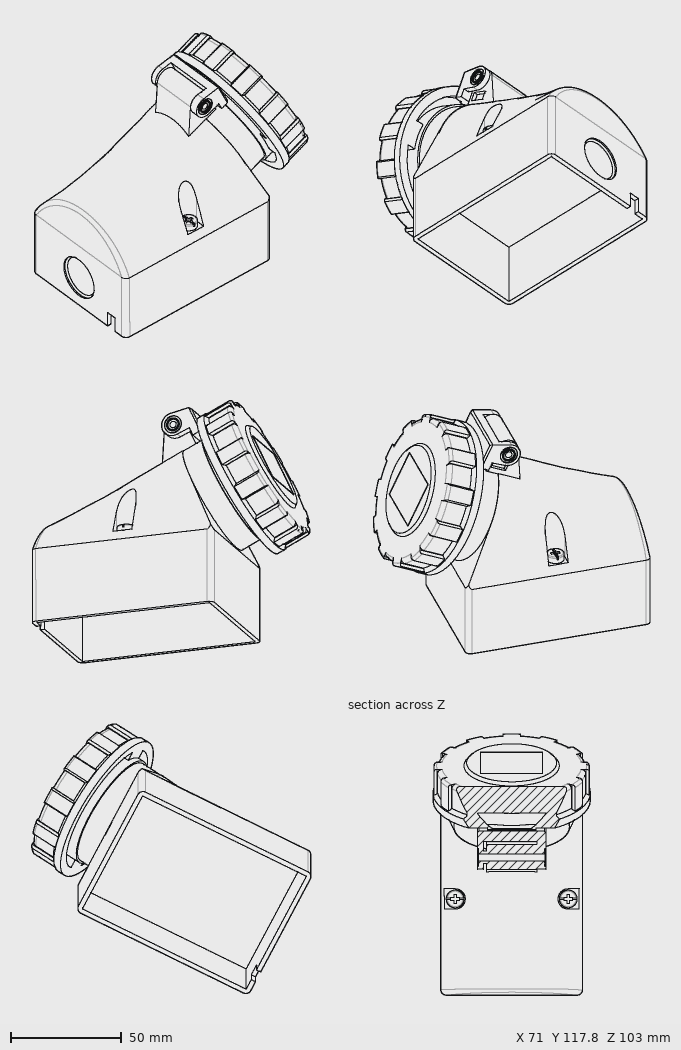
import cadquery as cq
import math


BOX_WIDTH = 64.0
BOX_LENGTH = 87.3
BOX_HEIGHT = 34.4
BOX_CORNER_RADIUS = 2.6
BOX_WALL = 2.2

KNOCKOUT_HEIGHT = 16.0
KNOCKOUT_DIAMETER = 20.8
KNOCKOUT_FLOOR_DIAMETER = 19.0
KNOCKOUT_BORE_DEPTH = 0.7
KNOCKOUT_DEPTH = 1.5

NOTCH_WIDTH = 5.1
NOTCH_HEIGHT = 7.8
NOTCH_X = 22.2

TILT = 25.0
TILT_COS = math.cos(math.radians(TILT))
TILT_SIN = math.sin(math.radians(TILT))
AXIS_OFFSET = 21.25
COLLAR_RADIUS = 26.0
COLLAR_RING_RADIUS = 27.0
COLLAR_RING_LENGTH = 2.6
COLLAR_OVERLAP = 1.0

BODY_FRONT = BOX_LENGTH * TILT_COS + BOX_HEIGHT * TILT_SIN
BODY_FRONT_RADIUS = 26.2
BODY_REAR_RISE = 18.8
BODY_REAR_LEAN = 4.5
BODY_REAR_ROUND = 2.4
ARCH_SPANS = 24

POCKET_X = 25.5
POCKET_Y = 43.4
POCKET_WIDTH = 9.2
POCKET_FLOOR = 39.0
SCREW_HEAD_DIAMETER = 8.0
SCREW_HEAD_TOP = 42.2
SCREW_HEAD_ROUND = 0.5
SCREW_SLOT_WIDTH = 0.7
SCREW_SLOT_DEPTH = 1.3
SCREW_CROSS_SPAN = 4.0
SCREW_CROSS_WIDTH = 1.2
SCREW_CROSS_DEPTH = 2.0

CAP_BACK = 106.9
CAP_FLANGE_RADIUS = 35.5
CAP_FLANGE_LENGTH = 3.7
CAP_SHOULDER_LENGTH = 1.6
CAP_LENGTH = 17.1
CAP_BODY_RADIUS = 33.6
CAP_FRONT_ROUND = 2.0
CAP_FRONT = CAP_BACK + CAP_LENGTH
CAP_FLANGE_FRONT = CAP_BACK + CAP_FLANGE_LENGTH

GRIP_COUNT = 12
GRIP_RADIUS = 35.1
GRIP_BASE_WIDTH = 8.0
GRIP_TOP_WIDTH = 6.6
GRIP_FRONT_ROUND = 1.3

CROWN_DIAMETER = 43.0
CROWN_HEIGHT = 1.5
CROWN_BEVEL = 1.2
LABEL_WIDTH = 28.0
LABEL_HEIGHT = 22.5
LABEL_DEPTH = 0.2

CAP_RECESS_RADIUS = 31.0
CAP_RECESS_DEPTH = 6.0
CAP_LUG_HEIGHT = 12.5

PIN_STATION = 95.1
PIN_HEIGHT = 56.9
KNUCKLE_RADIUS = 5.5
EAR_RADIUS = 5.4
PIN_HOLE_DIAMETER = 3.0
PIN_RIM_DIAMETER = 5.0
PIN_HEAD_DIAMETER = 6.0
PIN_SEAT_DIAMETER = 8.0
PIN_SEAT_DEPTH = 0.5

BLOCK_WIDTH = 22.8
BLOCK_FRONT = 100.0
BLOCK_BOTTOM = 40.0
BLOCK_REAR_ANGLE = 28.5
BLOCK_POCKET_REAR = 91.0
BLOCK_POCKET_LENGTH = 7.5
BLOCK_POCKET_BOTTOM = 47.1
BLOCK_POCKET_HEIGHT = 4.2
BLOCK_POCKET_DEPTH = 2.0

LEAF_WIDTH = 31.0
LEAF_FRONT = 105.8
LEAF_STEP = 101.2
LEAF_BOTTOM = 47.2
LEAF_STEP_HEIGHT = 51.2
LEAF_TOP = 59.9
LEAF_BEVEL = 0.8
LEAF_SIDE_GAP = 1.2
LEAF_WINDOW_GAP = 0.6
BRIDGE_WIDTH = 22.0
BRIDGE_TOP = 51.3


def tilted(shape):
    """Swing a level outlet feature up to the outlet's true direction."""
    return shape.rotate((0, 0, 0), (1, 0, 0), TILT)


def block(width, y_range, z_range, x_center=0.0):
    """Axis-aligned box centred on x_center."""
    length = y_range[1] - y_range[0]
    height = z_range[1] - z_range[0]
    corner = (x_center - width / 2, y_range[0], z_range[0])
    return cq.Workplane("XY").box(width, length, height, centered=False).translate(corner)


def turned(outline):
    """Revolve (radius, station) points about the level outlet axis."""
    solid = cq.Workplane("XY").polyline(outline).close().revolve(360, (0, 0, 0), (0, 1, 0))
    return solid.translate((0, 0, AXIS_OFFSET))


def disc(radius, start, end):
    """Cylinder on the level outlet axis between two stations."""
    return turned([(0, start), (radius, start), (radius, end), (0, end)])


def cross_rod(diameter, x_start, x_end):
    """Cylinder along X on the hinge pin's axis."""
    plane = cq.Workplane("YZ", origin=(x_start, PIN_STATION, PIN_HEIGHT))
    return plane.circle(diameter / 2).extrude(x_end - x_start)


def make_footprint(height):
    prism = block(BOX_WIDTH, (0, BOX_LENGTH), (0, height))
    return prism.edges("|Z").fillet(BOX_CORNER_RADIUS)


def make_box():
    cavity_width = BOX_WIDTH - 2 * BOX_WALL
    cavity = block(cavity_width, (BOX_WALL, BOX_LENGTH - BOX_WALL), (0, BOX_HEIGHT - BOX_WALL))
    notch = block(NOTCH_WIDTH, (0, BOX_WALL), (0, NOTCH_HEIGHT), NOTCH_X)
    bore_radius = KNOCKOUT_DIAMETER / 2
    knockout = (
        cq.Workplane("XY")
        .polyline([
            (0, 0),
            (bore_radius, 0),
            (bore_radius, KNOCKOUT_BORE_DEPTH),
            (KNOCKOUT_FLOOR_DIAMETER / 2, KNOCKOUT_DEPTH),
            (0, KNOCKOUT_DEPTH),
        ])
        .close()
        .revolve(360, (0, 0, 0), (0, 1, 0))
        .translate((0, 0, KNOCKOUT_HEIGHT))
    )
    return make_footprint(BOX_HEIGHT).cut(cavity).cut(notch).cut(knockout)


def arched_wire(plane, half_base, outline_point):
    """Flat-bottomed arch: a base line closed by a curve over it.

    outline_point gives the curve's point at a fraction from the base's left end to its right end.
    """
    points = [outline_point(index / ARCH_SPANS) for index in range(ARCH_SPANS + 1)]
    curve = cq.Edge.makeSpline([plane.toWorldCoords(point) for point in points])
    base = cq.Edge.makeLine(plane.toWorldCoords((half_base, 0)), plane.toWorldCoords((-half_base, 0)))
    return cq.Wire.assembleEdges([base, curve])


def make_front_arch():
    """Arc around the collar with tangent straight sides down to the box corners."""
    plane = cq.Plane((0, BOX_LENGTH, BOX_HEIGHT), (1, 0, 0), (0, -TILT_COS, -TILT_SIN))
    half_base = BOX_WIDTH / 2
    center_height = AXIS_OFFSET - (BOX_HEIGHT * TILT_COS - BOX_LENGTH * TILT_SIN)
    corner_distance = math.hypot(half_base, center_height)
    side_length = math.sqrt(corner_distance**2 - BODY_FRONT_RADIUS**2)
    corner_angle = math.atan2(half_base, -center_height)
    end_angle = corner_angle - math.atan2(side_length, BODY_FRONT_RADIUS)
    arc_length = 2 * BODY_FRONT_RADIUS * end_angle
    total_length = arc_length + 2 * side_length

    def outline_point(fraction):
        along = (fraction - 0.5) * total_length
        angle = max(-end_angle, min(end_angle, along / BODY_FRONT_RADIUS))
        straight = along - angle * BODY_FRONT_RADIUS
        x = BODY_FRONT_RADIUS * math.sin(angle) + straight * math.cos(angle)
        height = BODY_FRONT_RADIUS * math.cos(angle) - straight * math.sin(angle)
        return (x, center_height + height)

    return arched_wire(plane, half_base, outline_point)


def make_rear_arch():
    """One arc over the full box width, in a plane leaning slightly forward."""
    lean = math.radians(BODY_REAR_LEAN)
    plane = cq.Plane((0, 0, BOX_HEIGHT), (1, 0, 0), (0, -math.cos(lean), math.sin(lean)))
    half_base = BOX_WIDTH / 2
    radius = (half_base**2 + BODY_REAR_RISE**2) / (2 * BODY_REAR_RISE)
    end_angle = math.asin(half_base / radius)

    def outline_point(fraction):
        angle = (2 * fraction - 1) * end_angle
        return (radius * math.sin(angle), BODY_REAR_RISE - radius + radius * math.cos(angle))

    return arched_wire(plane, half_base, outline_point)


def make_upper_body():
    body = cq.Workplane(obj=cq.Solid.makeLoft([make_rear_arch(), make_front_arch()], True))
    return body.faces("<Y").edges("not(<Z)").fillet(BODY_REAR_ROUND)


def make_screw_pocket():
    """Vertical pocket on the +X side, round inside and open outward."""
    height = BOX_WIDTH
    half_width = POCKET_WIDTH / 2
    round_end = cq.Workplane("XY").circle(half_width).extrude(height)
    open_end = block(BOX_WIDTH, (-half_width, half_width), (0, height), BOX_WIDTH / 2)
    return round_end.union(open_end).translate((POCKET_X, POCKET_Y, POCKET_FLOOR))


def make_screw():
    """Screw head on the pocket floor with a slot and a cross recess."""
    height = SCREW_HEAD_TOP - POCKET_FLOOR
    head = cq.Workplane("XY").circle(SCREW_HEAD_DIAMETER / 2).extrude(height)
    head = head.faces(">Z").edges().fillet(SCREW_HEAD_ROUND)
    half_slot = SCREW_SLOT_WIDTH / 2
    half_span = SCREW_CROSS_SPAN / 2
    half_arm = SCREW_CROSS_WIDTH / 2
    cross_depth = (height - SCREW_CROSS_DEPTH, height)
    head = head.cut(block(SCREW_HEAD_DIAMETER, (-half_slot, half_slot), (height - SCREW_SLOT_DEPTH, height)))
    head = head.cut(block(SCREW_CROSS_SPAN, (-half_arm, half_arm), cross_depth))
    head = head.cut(block(SCREW_CROSS_WIDTH, (-half_span, half_span), cross_depth))
    return head.translate((POCKET_X, POCKET_Y, POCKET_FLOOR))


def make_collar():
    ring_start = CAP_BACK - COLLAR_RING_LENGTH
    recess_floor = CAP_BACK + CAP_RECESS_DEPTH
    collar = disc(COLLAR_RADIUS, BODY_FRONT - COLLAR_OVERLAP, recess_floor)
    return collar.union(disc(COLLAR_RING_RADIUS, ring_start, recess_floor))


def make_grip():
    """Grip rib at the top of the cap, trapezoidal across and trimmed to a turned outline."""
    inner_height = CAP_BODY_RADIUS - CAP_FRONT_ROUND * 2
    half_base = GRIP_BASE_WIDTH / 2
    half_top = GRIP_TOP_WIDTH / 2
    rib = (
        cq.Workplane("XZ", origin=(0, CAP_FRONT, 0))
        .polyline([
            (-half_base, inner_height),
            (half_base, inner_height),
            (half_base, CAP_BODY_RADIUS),
            (half_top, GRIP_RADIUS),
            (-half_top, GRIP_RADIUS),
            (-half_base, CAP_BODY_RADIUS),
        ])
        .close()
        .extrude(CAP_FRONT - CAP_FLANGE_FRONT)
        .translate((0, 0, AXIS_OFFSET))
    )
    trim = disc(GRIP_RADIUS, CAP_FLANGE_FRONT, CAP_FRONT).faces(">Y").edges().fillet(GRIP_FRONT_ROUND)
    return rib.intersect(trim)


def make_cap():
    cap = turned([
        (0, CAP_BACK),
        (CAP_FLANGE_RADIUS, CAP_BACK),
        (CAP_FLANGE_RADIUS, CAP_FLANGE_FRONT),
        (CAP_BODY_RADIUS, CAP_FLANGE_FRONT + CAP_SHOULDER_LENGTH),
        (CAP_BODY_RADIUS, CAP_FRONT),
        (0, CAP_FRONT),
    ])
    cap = cap.faces(">Y").edges().fillet(CAP_FRONT_ROUND)

    grip = make_grip()
    for index in range(GRIP_COUNT):
        angle = 360 * index / GRIP_COUNT
        cap = cap.union(grip.rotate((0, 0, AXIS_OFFSET), (0, 1, AXIS_OFFSET), angle))

    crown_radius = CROWN_DIAMETER / 2
    crown_top = CAP_FRONT + CROWN_HEIGHT
    cap = cap.union(turned([
        (0, CAP_FRONT),
        (crown_radius, CAP_FRONT),
        (crown_radius - CROWN_BEVEL, crown_top),
        (0, crown_top),
    ]))
    label_heights = (AXIS_OFFSET - LABEL_HEIGHT / 2, AXIS_OFFSET + LABEL_HEIGHT / 2)
    cap = cap.cut(block(LABEL_WIDTH, (crown_top - LABEL_DEPTH, crown_top), label_heights))

    recess_range = (CAP_BACK, CAP_BACK + CAP_RECESS_DEPTH)
    lug_heights = (AXIS_OFFSET - CAP_LUG_HEIGHT / 2, AXIS_OFFSET + CAP_LUG_HEIGHT / 2)
    lugs = block(2 * CAP_RECESS_RADIUS, recess_range, lug_heights)
    return cap.cut(disc(CAP_RECESS_RADIUS, *recess_range).cut(lugs))


def make_hinge_block():
    """Fixed knuckle rising from the collar, its rear face tangent to the round top."""
    angle = math.radians(BLOCK_REAR_ANGLE)
    rear_tangent = (
        PIN_STATION - KNUCKLE_RADIUS * math.cos(angle),
        PIN_HEIGHT + KNUCKLE_RADIUS * math.sin(angle),
    )
    rear_foot = rear_tangent[0] - (rear_tangent[1] - BLOCK_BOTTOM) * math.tan(angle)
    front_tangent = PIN_STATION + KNUCKLE_RADIUS
    knuckle = (
        cq.Workplane("YZ", origin=(-BLOCK_WIDTH / 2, 0, 0))
        .moveTo(rear_foot, BLOCK_BOTTOM)
        .lineTo(*rear_tangent)
        .threePointArc((PIN_STATION, PIN_HEIGHT + KNUCKLE_RADIUS), (front_tangent, PIN_HEIGHT))
        .lineTo(BLOCK_FRONT, LEAF_STEP_HEIGHT)
        .lineTo(BLOCK_FRONT, BLOCK_BOTTOM)
        .close()
        .extrude(BLOCK_WIDTH)
    )
    pocket = block(
        BLOCK_POCKET_DEPTH,
        (BLOCK_POCKET_REAR, BLOCK_POCKET_REAR + BLOCK_POCKET_LENGTH),
        (BLOCK_POCKET_BOTTOM, BLOCK_POCKET_BOTTOM + BLOCK_POCKET_HEIGHT),
        (BLOCK_POCKET_DEPTH - BLOCK_WIDTH) / 2,
    )
    return knuckle.cut(pocket)


def make_hinge_leaf():
    """Moving leaf: a plate behind the cap with two ears around the fixed knuckle."""
    half_width = LEAF_WIDTH / 2
    half_block = BLOCK_WIDTH / 2
    slope = math.radians(TILT) / 2
    top_tangent = (
        PIN_STATION + EAR_RADIUS * math.sin(slope),
        PIN_HEIGHT + EAR_RADIUS * math.cos(slope),
    )
    bottom_tangent = (PIN_STATION, PIN_HEIGHT - EAR_RADIUS)
    leaf = (
        cq.Workplane("YZ", origin=(-half_width, 0, 0))
        .moveTo(LEAF_FRONT, LEAF_BOTTOM)
        .lineTo(LEAF_FRONT, LEAF_TOP)
        .lineTo(*top_tangent)
        .threePointArc((PIN_STATION - EAR_RADIUS, PIN_HEIGHT), bottom_tangent)
        .lineTo(LEAF_STEP, LEAF_STEP_HEIGHT)
        .lineTo(LEAF_STEP, LEAF_BOTTOM)
        .close()
        .extrude(LEAF_WIDTH)
    )
    leaf = leaf.faces(">Y").edges("not(<Z)").chamfer(LEAF_BEVEL)

    window_width = BLOCK_WIDTH + LEAF_SIDE_GAP
    window_front = PIN_STATION + KNUCKLE_RADIUS + LEAF_WINDOW_GAP
    heights = (LEAF_BOTTOM, LEAF_TOP + KNUCKLE_RADIUS)
    window_center = half_block - window_width / 2
    leaf = leaf.cut(block(window_width, (0, window_front), heights, window_center))

    bridge = block(BRIDGE_WIDTH, (LEAF_FRONT, CAP_BACK), (LEAF_BOTTOM, BRIDGE_TOP))
    return leaf.union(bridge)


def make_pin_cuts():
    """Through hole and the ringed seats in both outer ear faces."""
    half_width = LEAF_WIDTH / 2
    cuts = cross_rod(PIN_HOLE_DIAMETER, -half_width, half_width)
    for start in (-half_width, half_width - PIN_SEAT_DEPTH):
        end = start + PIN_SEAT_DEPTH
        seat = cross_rod(PIN_SEAT_DIAMETER, start, end).cut(cross_rod(PIN_HEAD_DIAMETER, start, end))
        cuts = cuts.union(seat).union(cross_rod(PIN_RIM_DIAMETER, start, end))
    return cuts


def make_hinge():
    pin = cross_rod(PIN_HEAD_DIAMETER, -LEAF_WIDTH / 2, LEAF_WIDTH / 2)
    return make_hinge_block().union(make_hinge_leaf()).union(pin).cut(make_pin_cuts())


def make_part():
    body = make_upper_body().intersect(make_footprint(BOX_LENGTH))
    pocket = make_screw_pocket()
    screw = make_screw()
    body = body.cut(pocket).cut(pocket.mirror("YZ"))
    housing = make_box().union(body).union(screw).union(screw.mirror("YZ"))
    outlet = make_collar().union(make_cap()).union(make_hinge())
    return housing.union(tilted(outlet))


result = make_part()